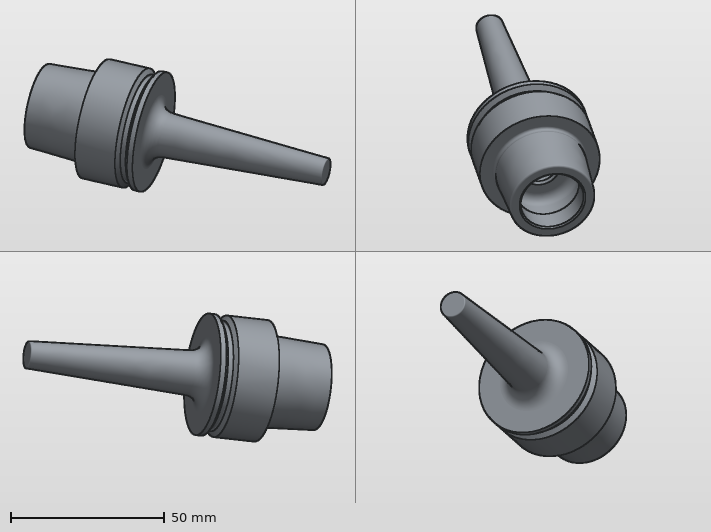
import cadquery as cq
import math


shank_length = 20.0
shank_end_radius = 14.15
shank_end_round = 0.7
taper_end_x = 17.9
taper_large_radius = 15.15
relief_start_x = 18.75
relief_radius = 14.95
shank_root_fillet = 0.85

flange_radius = 20.0
flange_end_x = 40.0
groove_center_x = 36.0
groove_mouth_half_width = 2.1
groove_wall_half_width = 0.9
groove_wall_radius = 18.2
groove_floor_radius = 17.4
groove_floor_fillet = 0.25

nose_end_x = 100.0
nose_tip_radius = 4.5
nose_tip_round = 0.4
nose_half_angle = math.radians(3.0)
nose_root_fillet = 5.0

bore_radius = 10.45
bore_mouth_chamfer = 0.55
bore_end_x = 7.7
chamber_radius = 12.75
chamber_floor_x = 18.4
chamber_floor_fillet = 3.0

hole_radius = 5.4
hole_chamfer = 0.85
hole_depth = 6.0

full_turn = 2 * math.pi
right = 0.0
up = math.pi / 2
left = math.pi
down = -math.pi / 2


def revolve_about_x(profile):
    """Close a profile in the XY plane and turn it a full circle about the X axis."""
    return profile.close().revolve(360, (0, 0, 0), (1, 0, 0))


def arc_from_here(profile, center, radius, start_angle, end_angle):
    """Draw a line to the start of an arc about center, then the arc; angles in radians."""

    def point_at(angle):
        return (
            center[0] + radius * math.cos(angle),
            center[1] + radius * math.sin(angle),
        )

    middle_angle = (start_angle + end_angle) / 2
    profile = profile.lineTo(*point_at(start_angle))
    return profile.threePointArc(point_at(middle_angle), point_at(end_angle))


def make_shank():
    """Solid shank: rounded end, taper, relief and root fillet."""
    taper_angle = math.atan2(taper_large_radius - shank_end_radius, taper_end_x)
    profile = cq.Workplane("XY").moveTo(0, 0)
    profile = arc_from_here(
        profile,
        (shank_end_round, shank_end_radius - shank_end_round),
        shank_end_round,
        left,
        up + taper_angle,
    )
    profile = profile.lineTo(taper_end_x, taper_large_radius)
    profile = profile.lineTo(relief_start_x, relief_radius)
    profile = arc_from_here(
        profile,
        (shank_length - shank_root_fillet, relief_radius + shank_root_fillet),
        shank_root_fillet,
        down,
        right,
    )
    return revolve_about_x(profile.lineTo(shank_length, 0))


def make_flange():
    """Flange disc with the gripper groove cut into its rim."""
    blank = (
        cq.Workplane("YZ", origin=(shank_length, 0, 0))
        .circle(flange_radius)
        .extrude(flange_end_x - shank_length)
    )
    return blank.cut(make_groove_ring())


def make_groove_ring():
    """Ring of material removed by the gripper groove."""
    fillet_center_radius = groove_floor_radius + groove_floor_fillet
    fillet_center_offset = groove_wall_half_width - groove_floor_fillet
    profile = (
        cq.Workplane("XY")
        .moveTo(groove_center_x + groove_mouth_half_width, flange_radius)
        .lineTo(groove_center_x - groove_mouth_half_width, flange_radius)
        .lineTo(groove_center_x - groove_wall_half_width, groove_wall_radius)
    )
    profile = arc_from_here(
        profile,
        (groove_center_x - fillet_center_offset, fillet_center_radius),
        groove_floor_fillet,
        left - full_turn,
        down,
    )
    profile = arc_from_here(
        profile,
        (groove_center_x + fillet_center_offset, fillet_center_radius),
        groove_floor_fillet,
        down,
        right,
    )
    return revolve_about_x(
        profile.lineTo(groove_center_x + groove_wall_half_width, groove_wall_radius)
    )


def nose_radius_at(x):
    """Radius of the nose cone at x, before its root and tip are rounded."""
    return nose_tip_radius + (nose_end_x - x) * math.tan(nose_half_angle)


def make_nose():
    """Cone with a tangent root fillet and a rounded tip."""
    fillet_center_x = flange_end_x + nose_root_fillet
    fillet_center_radius = (
        nose_radius_at(fillet_center_x) + nose_root_fillet / math.cos(nose_half_angle)
    )
    tip_center_x = nose_end_x - nose_tip_round
    tip_center_radius = (
        nose_radius_at(tip_center_x) - nose_tip_round / math.cos(nose_half_angle)
    )
    profile = cq.Workplane("XY").moveTo(flange_end_x, 0)
    profile = arc_from_here(
        profile,
        (fillet_center_x, fillet_center_radius),
        nose_root_fillet,
        left,
        full_turn + down - nose_half_angle,
    )
    profile = arc_from_here(
        profile,
        (tip_center_x, tip_center_radius),
        nose_tip_round,
        up - nose_half_angle,
        right,
    )
    return revolve_about_x(profile.lineTo(nose_end_x, 0))


def make_cavity():
    """Volume of the mouth bore, chamber and blind hole."""
    profile = (
        cq.Workplane("XY")
        .moveTo(0, 0)
        .lineTo(0, bore_radius + bore_mouth_chamfer)
        .lineTo(bore_mouth_chamfer, bore_radius)
        .lineTo(bore_end_x, bore_radius)
        .lineTo(bore_end_x, chamber_radius)
    )
    profile = arc_from_here(
        profile,
        (chamber_floor_x - chamber_floor_fillet, chamber_radius - chamber_floor_fillet),
        chamber_floor_fillet,
        up,
        right,
    )
    profile = (
        profile.lineTo(chamber_floor_x, hole_radius + hole_chamfer)
        .lineTo(chamber_floor_x + hole_chamfer, hole_radius)
        .lineTo(chamber_floor_x + hole_depth, hole_radius)
        .lineTo(chamber_floor_x + hole_depth, 0)
    )
    return revolve_about_x(profile)


result = make_shank().union(make_flange()).union(make_nose()).cut(make_cavity())